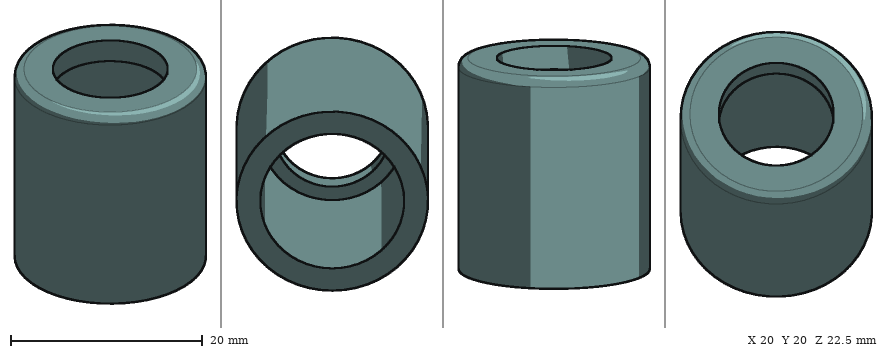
import cadquery as cq

height = 22.5
outer_diameter = 20.0
bore_diameter = 12.0
rim_radius = 1.0
lip_depth = 2.5
recess_diameter = 15.0

body = cq.Workplane("XY").circle(outer_diameter / 2).extrude(height)
body = body.faces(">Z").edges().fillet(rim_radius)

bore = cq.Workplane("XY").circle(bore_diameter / 2).extrude(height)
recess = cq.Workplane("XY").circle(recess_diameter / 2).extrude(height - lip_depth)

result = body.cut(bore).cut(recess)